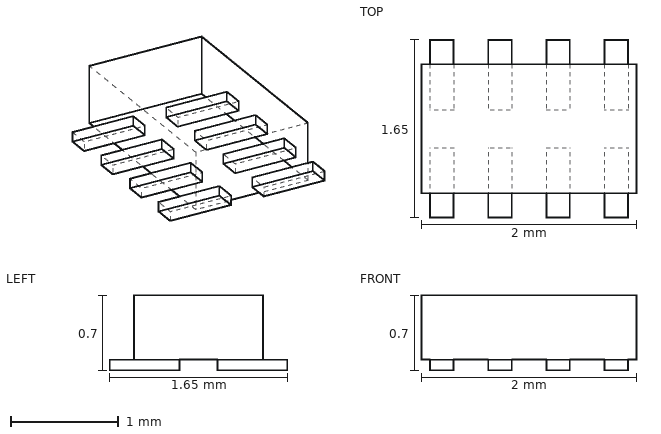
import cadquery as cq

housing_length = 2.0
housing_width = 1.2
housing_height = 0.6

overall_width = 1.65
lead_width = 0.22
lead_length = 0.65
lead_thickness = 0.1
lead_pitch = 0.54
leads_per_row = 4

row_center_y = (overall_width - lead_length) / 2
first_lead_x = -lead_pitch * (leads_per_row - 1) / 2


def make_housing():
    """Plain block resting on top of the leads."""
    return (
        cq.Workplane("XY")
        .workplane(offset=lead_thickness)
        .rect(housing_length, housing_width)
        .extrude(housing_height)
    )


def make_lead(center_x, center_y):
    """Flat strip, long in Y, with its underside at Z = 0."""
    return (
        cq.Workplane("XY")
        .center(center_x, center_y)
        .rect(lead_width, lead_length)
        .extrude(lead_thickness)
    )


housing = make_housing()

leads = []
for row_y in (-row_center_y, row_center_y):
    for index in range(leads_per_row):
        leads.append(make_lead(first_lead_x + index * lead_pitch, row_y))

result = cq.Compound.makeCompound([housing.val(), *[lead.val() for lead in leads]])